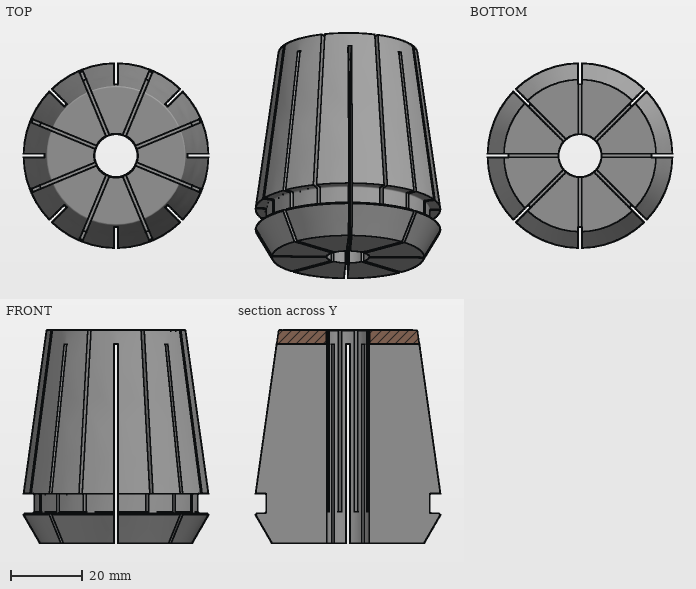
import cadquery as cq
import math

height = 60.0
max_radius = 26.0
bore_diameter = 12.0
bore_mouth_chamfer = 0.2

cone_bottom_z = 14.0
cone_half_angle = 8.0
top_edge_fillet = 0.4

groove_radius = 23.0
groove_corner_fillet = 0.4
flange_top_z = 8.5
flange_cone_half_angle = 30.0
flange_rim_z = 8.0
flange_top_radius = max_radius - (flange_top_z - flange_rim_z)

slot_count = 8
slot_width = 1.0
end_wall_above_lower_slots = 4.0

upper_slot_floor_z = flange_top_z + groove_corner_fillet
lower_slot_ceiling_z = height - end_wall_above_lower_slots
slot_pitch = 360.0 / slot_count
cone_top_radius = max_radius - (height - cone_bottom_z) * math.tan(math.radians(cone_half_angle))
base_radius = max_radius - flange_rim_z * math.tan(math.radians(flange_cone_half_angle))


def make_body():
    """Revolve the cone, groove and flange, then round the top edge and the groove corners."""
    profile = (
        cq.Workplane("XZ")
        .lineTo(base_radius, 0)
        .lineTo(max_radius, flange_rim_z)
        .lineTo(flange_top_radius, flange_top_z)
        .lineTo(groove_radius, flange_top_z)
        .lineTo(groove_radius, cone_bottom_z)
        .lineTo(max_radius, cone_bottom_z)
        .lineTo(cone_top_radius, height)
        .lineTo(0, height)
        .close()
    )
    body = profile.revolve(360, (0, 0, 0), (0, 1, 0))
    body = body.faces(">Z").edges().fillet(top_edge_fillet)
    groove_wall = cq.selectors.BoxSelector(
        (-max_radius, -max_radius, flange_top_z - groove_corner_fillet),
        (max_radius, max_radius, cone_bottom_z + groove_corner_fillet),
    )
    wall_edges = body.edges(groove_wall).edges("%CIRCLE").edges(cq.selectors.RadiusNthSelector(0))
    return wall_edges.fillet(groove_corner_fillet)


def make_slots(bottom_z, top_z, first_angle):
    """Ring of radial slots from the axis outward, between two heights."""
    slots = cq.Workplane("XY")
    for index in range(slot_count):
        slot = (
            cq.Workplane("XY", origin=(0, 0, bottom_z))
            .rect(2 * max_radius, slot_width)
            .extrude(top_z - bottom_z)
            .translate((max_radius, 0, 0))
            .rotate((0, 0, 0), (0, 0, 1), first_angle + index * slot_pitch)
        )
        slots = slots.add(slot)
    return slots.combine()


def cut_bore(body):
    """Through bore with a small chamfer at its upper mouth."""
    bored = body.cut(cq.Workplane("XY").circle(bore_diameter / 2).extrude(height))
    mouth_edge = bored.faces(">Z").edges(cq.selectors.RadiusNthSelector(0))
    return mouth_edge.chamfer(bore_mouth_chamfer)


result = (
    cut_bore(make_body())
    .cut(make_slots(0, lower_slot_ceiling_z, 0))
    .cut(make_slots(upper_slot_floor_z, height, slot_pitch / 2))
)